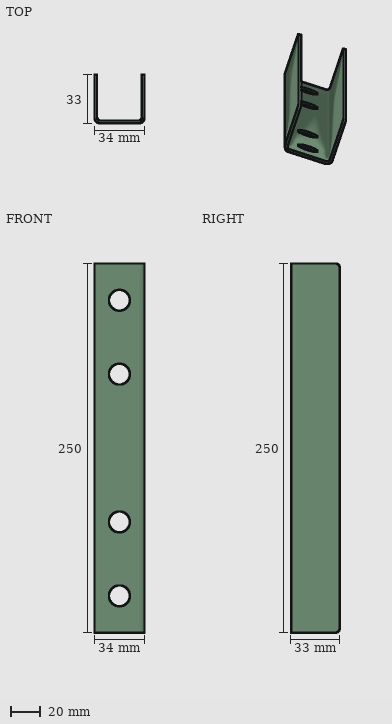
import cadquery as cq

width = 34.0
depth = 33.0
length = 250.0

thickness = 2.0
outer_bend_radius = 4.0
inner_bend_radius = outer_bend_radius - thickness
tip_corner_radius = 3.0

hole_diameter = 14.0
end_hole_margin = 25.0
hole_pitch = 50.0
outer_hole_offset = length / 2 - end_hole_margin
inner_hole_offset = outer_hole_offset - hole_pitch


def rounded_block(block_width, front_y, back_y, bend_radius):
    """Full-length block centred on X and Z, with its two front (-Y) edges rounded."""
    block_depth = back_y - front_y
    return (
        cq.Workplane("XY")
        .box(block_width, block_depth, length)
        .edges("|Z and <Y")
        .fillet(bend_radius)
        .translate((0, front_y + block_depth / 2, 0))
    )


def make_channel():
    """U-section with its web at Y = 0 and its flanges running toward +Y."""
    outside = rounded_block(width, 0, depth, outer_bend_radius)
    inside = rounded_block(width - 2 * thickness, thickness, depth, inner_bend_radius)
    return outside.cut(inside)


def round_flange_tips(channel):
    """Round the free corners of both flanges at both ends of the channel."""
    return channel.edges("|X and >Y").fillet(tip_corner_radius)


def drill_web(channel):
    """Drill the row of holes along the centre line of the web."""
    for offset in (outer_hole_offset, inner_hole_offset):
        for z in (-offset, offset):
            drill = (
                cq.Workplane("XZ")
                .center(0, z)
                .circle(hole_diameter / 2)
                .extrude(-thickness)
            )
            channel = channel.cut(drill)
    return channel


result = drill_web(round_flange_tips(make_channel()))